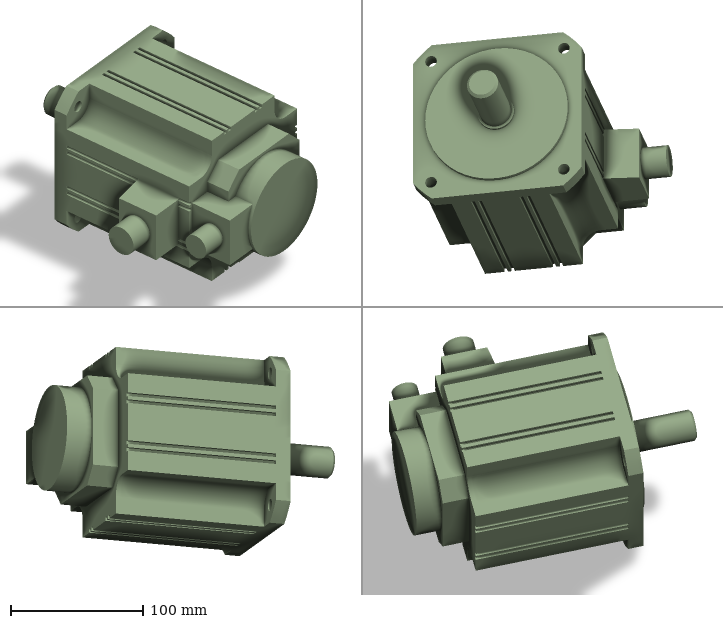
import cadquery as cq


COLLAR_START = 49.5
PILOT_START = 51.5
FLANGE_START = 55.0
FLANGE_END = 66.5
BODY_END = 185.2
ADAPTER_END = 205.5
CAP_END = 225.0

SHAFT_DIAMETER = 24.0
SHAFT_CHAMFER = 2.0
COLLAR_DIAMETER = 28.0

FRAME_SIZE = 130.0
HALF_FRAME = FRAME_SIZE / 2
FLANGE_CORNER_DIAMETER = 165.0
PILOT_DIAMETER = 110.0
BOLT_HOLE_DIAMETER = 9.0
BOLT_SPACING = 102.5

RELIEF_RADIUS = 13.5
RELIEF_INNER = BOLT_SPACING / 2 - RELIEF_RADIUS
RELIEF_SIZE = HALF_FRAME - RELIEF_INNER

GROOVE_WIDTH = 2.7
GROOVE_DEPTH = 2.7
GROOVE_OFFSETS = [-21.4, -16.0, 16.0, 21.4]

ADAPTER_SIZE = 86.0
ADAPTER_CHAMFER = 13.0
CAP_DIAMETER = 80.0

BOX_WIDTH = 41.5
POWER_BOX_START = 134.5
POWER_BOX_TIP_START = 138.4
POWER_BOX_END = 174.4
POWER_BOX_REACH = 91.4
POWER_PLUG_X = 156.2
POWER_PLUG_DIAMETER = 24.0
POWER_PLUG_REACH = 111.0
ENCODER_BOX_END = 221.8
ENCODER_BOX_REACH = 61.6
ENCODER_PLUG_X = 205.0
ENCODER_PLUG_DIAMETER = 20.0
ENCODER_PLUG_REACH = 81.7


def section_at(x):
    """Workplane across the motor axis at x: local x is +Y, local y is +Z."""
    return cq.Workplane("YZ", origin=(x, 0, 0))


def axial_disc(diameter, start, end):
    return section_at(start).circle(diameter / 2).extrude(end - start)


def axial_square(size, start, end):
    return section_at(start).rect(size, size).extrude(end - start)


def make_shaft():
    """Shaft with a chamfered tip and a collar that rests on the pilot face."""
    shaft = axial_disc(SHAFT_DIAMETER, 0, COLLAR_START).faces("<X").chamfer(SHAFT_CHAMFER)
    return shaft.union(axial_disc(COLLAR_DIAMETER, COLLAR_START, PILOT_START))


def make_flange():
    """Square flange with turned corners, bolt holes and a round pilot."""
    flange = axial_square(FRAME_SIZE, FLANGE_START, FLANGE_END)
    flange = flange.intersect(axial_disc(FLANGE_CORNER_DIAMETER, FLANGE_START, FLANGE_END))
    bolt_holes = (
        section_at(FLANGE_START)
        .rect(BOLT_SPACING, BOLT_SPACING, forConstruction=True)
        .vertices()
        .circle(BOLT_HOLE_DIAMETER / 2)
        .extrude(FLANGE_END - FLANGE_START)
    )
    pilot = axial_disc(PILOT_DIAMETER, PILOT_START, FLANGE_START)
    return flange.cut(bolt_holes).union(pilot)


def make_corner_relief():
    """Square notch along the +Y +Z body edge, rounded at its inner edge."""
    relief_center = RELIEF_INNER + RELIEF_SIZE / 2
    return (
        section_at(FLANGE_END)
        .center(relief_center, relief_center)
        .rect(RELIEF_SIZE, RELIEF_SIZE)
        .extrude(BODY_END - FLANGE_END)
        .edges("|X and <Y and <Z")
        .fillet(RELIEF_RADIUS)
    )


def make_face_grooves():
    """The grooves that run along the top body face."""
    return (
        section_at(FLANGE_END)
        .pushPoints([(offset, HALF_FRAME - GROOVE_DEPTH / 2) for offset in GROOVE_OFFSETS])
        .rect(GROOVE_WIDTH, GROOVE_DEPTH)
        .extrude(BODY_END - FLANGE_END)
    )


def make_body():
    """Square body with relieved corners and grooves on all four faces."""
    body = axial_square(FRAME_SIZE, FLANGE_END, BODY_END)
    relief = make_corner_relief()
    grooves = make_face_grooves()
    for angle in (0, 90, 180, 270):
        body = body.cut(relief.rotate((0, 0, 0), (1, 0, 0), angle))
        body = body.cut(grooves.rotate((0, 0, 0), (1, 0, 0), angle))
    return body


def make_rear_end():
    """Chamfered square adapter followed by the round encoder cap."""
    adapter = axial_square(ADAPTER_SIZE, BODY_END, ADAPTER_END).edges("|X").chamfer(ADAPTER_CHAMFER)
    return adapter.union(axial_disc(CAP_DIAMETER, ADAPTER_END, CAP_END))


def make_connector(box_outline, box_reach, plug_x, plug_diameter, plug_reach):
    """Box with the given XY outline and a round plug on its -Y face."""
    box = cq.Workplane("XY").polyline(box_outline).close().extrude(BOX_WIDTH / 2, both=True)
    plug = (
        cq.Workplane("XZ", origin=(plug_x, -box_reach, 0))
        .circle(plug_diameter / 2)
        .extrude(plug_reach - box_reach)
    )
    return box.union(plug)


def make_power_connector():
    """Connector on the body side, with a sloping front wall and its root on the groove floors."""
    root_y = GROOVE_DEPTH - HALF_FRAME
    outline = [
        (POWER_BOX_START, root_y),
        (POWER_BOX_START, -HALF_FRAME),
        (POWER_BOX_TIP_START, -POWER_BOX_REACH),
        (POWER_BOX_END, -POWER_BOX_REACH),
        (POWER_BOX_END, root_y),
    ]
    return make_connector(
        outline, POWER_BOX_REACH, POWER_PLUG_X, POWER_PLUG_DIAMETER, POWER_PLUG_REACH
    )


def make_encoder_connector():
    """Connector on the rear end, with its box running in to the motor axis."""
    outline = [
        (BODY_END, 0),
        (BODY_END, -ENCODER_BOX_REACH),
        (ENCODER_BOX_END, -ENCODER_BOX_REACH),
        (ENCODER_BOX_END, 0),
    ]
    return make_connector(
        outline, ENCODER_BOX_REACH, ENCODER_PLUG_X, ENCODER_PLUG_DIAMETER, ENCODER_PLUG_REACH
    )


def make_housing():
    """Flange, body, rear end and both connectors as one solid."""
    return (
        make_flange()
        .union(make_body())
        .union(make_rear_end())
        .union(make_power_connector())
        .union(make_encoder_connector())
    )


shaft = make_shaft()
housing = make_housing()

result = cq.Compound.makeCompound([shaft.val(), housing.val()])